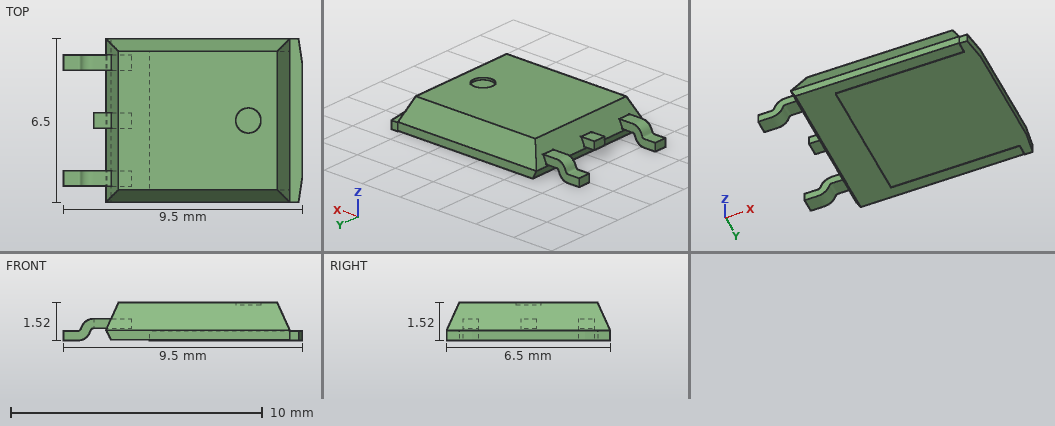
import cadquery as cq
import math


total_length = 9.5
package_width = 6.5
package_height = 1.52
metal_thickness = 0.39

housing_left = 1.69
housing_right = 9.0
housing_bottom = 0.03
waist_height = 0.42
undercut = 0.2
draft_inset = 0.5
housing_length = housing_right - housing_left
housing_center_x = (housing_left + housing_right) / 2
draft_height = package_height - waist_height
draft_angle = math.degrees(math.atan(draft_inset / draft_height))

mark_diameter = 1.0
mark_depth = 0.1
mark_x = 7.35

pad_left = 3.42
pad_width = package_width - 2 * draft_inset
tab_taper_x = 0.15
tab_taper_y = 1.0
tab_tip_half_width = package_width / 2 - tab_taper_y

lead_width = 0.62
lead_pitch = 2.3
lead_rise = 0.485
bend_start = 0.58
bend_inner_radius = 0.115
bend_outer_radius = bend_inner_radius + metal_thickness
bend_angle = math.radians(67)
lead_inner_end = housing_left + 2 * draft_inset
center_lead_tip = 1.2

bend_middle_radius = (bend_inner_radius + bend_outer_radius) / 2
slope_length = (lead_rise - 2 * bend_middle_radius * (1 - math.cos(bend_angle))) / math.sin(bend_angle)
bend_run = 2 * bend_middle_radius * math.sin(bend_angle) + slope_length * math.cos(bend_angle)
bend_end = bend_start + bend_run


def make_lead_blank():
    """Formed lead: flat foot, upward bend, slope, levelling bend and flat shank, centred on Y = 0."""
    foot_center = (bend_start, bend_outer_radius)
    shank_center = (bend_end, lead_rise - bend_inner_radius)

    def foot_arc(radius, angle):
        return (
            foot_center[0] + radius * math.sin(angle),
            foot_center[1] - radius * math.cos(angle),
        )

    def shank_arc(radius, angle):
        return (
            shank_center[0] - radius * math.sin(angle),
            shank_center[1] + radius * math.cos(angle),
        )

    half_angle = bend_angle / 2
    return (
        cq.Workplane("XZ")
        .moveTo(0, 0)
        .lineTo(bend_start, 0)
        .threePointArc(foot_arc(bend_outer_radius, half_angle), foot_arc(bend_outer_radius, bend_angle))
        .lineTo(*shank_arc(bend_inner_radius, bend_angle))
        .threePointArc(shank_arc(bend_inner_radius, half_angle), (bend_end, lead_rise))
        .lineTo(lead_inner_end, lead_rise)
        .lineTo(lead_inner_end, lead_rise + metal_thickness)
        .lineTo(bend_end, lead_rise + metal_thickness)
        .threePointArc(shank_arc(bend_outer_radius, half_angle), shank_arc(bend_outer_radius, bend_angle))
        .lineTo(*foot_arc(bend_inner_radius, bend_angle))
        .threePointArc(foot_arc(bend_inner_radius, half_angle), (bend_start, metal_thickness))
        .lineTo(0, metal_thickness)
        .close()
        .extrude(lead_width / 2, both=True)
    )


def make_formed_lead(y):
    return make_lead_blank().translate((0, y, 0))


def make_center_lead():
    """Flat lead, cut off just outside the housing."""
    return (
        cq.Workplane("XY", origin=(center_lead_tip, 0, lead_rise))
        .box(lead_inner_end - center_lead_tip, lead_width, metal_thickness, centered=(False, True, False))
    )


def make_heat_tab():
    """Pad under the housing that widens into a tab with tapered end corners."""
    pad = (
        cq.Workplane("XY", origin=(pad_left, 0, 0))
        .box(housing_right - pad_left, pad_width, metal_thickness, centered=(False, True, False))
    )
    taper_start = total_length - tab_taper_x
    tab = (
        cq.Workplane("XY")
        .polyline([
            (housing_right, -package_width / 2),
            (taper_start, -package_width / 2),
            (total_length, -tab_tip_half_width),
            (total_length, tab_tip_half_width),
            (taper_start, package_width / 2),
            (housing_right, package_width / 2),
        ])
        .close()
        .extrude(metal_thickness)
    )
    return pad.union(tab)


def make_housing(metal_parts):
    """Moulded block, drafted above the waist and undercut on the lead side, fitted around the metal."""
    lower = (
        cq.Workplane("XZ")
        .polyline([
            (housing_left, waist_height),
            (housing_left + undercut, housing_bottom),
            (housing_right, housing_bottom),
            (housing_right, waist_height),
        ])
        .close()
        .extrude(package_width / 2, both=True)
    )
    upper = (
        cq.Workplane("XY", origin=(housing_center_x, 0, waist_height))
        .rect(housing_length, package_width)
        .extrude(draft_height, taper=draft_angle)
    )
    mark = (
        cq.Workplane("XY", origin=(mark_x, 0, package_height - mark_depth))
        .circle(mark_diameter / 2)
        .extrude(mark_depth)
    )
    block = lower.union(upper).cut(mark)
    for metal in metal_parts:
        block = block.cut(metal)
    return block


formed_leads = [make_formed_lead(y) for y in (-lead_pitch, lead_pitch)]
center_lead = make_center_lead()
heat_tab = make_heat_tab()
housing = make_housing([*formed_leads, center_lead, heat_tab])

result = cq.Compound.makeCompound([
    housing.solids().val(),
    heat_tab.solids().val(),
    center_lead.solids().val(),
    *[lead.solids().val() for lead in formed_leads],
])